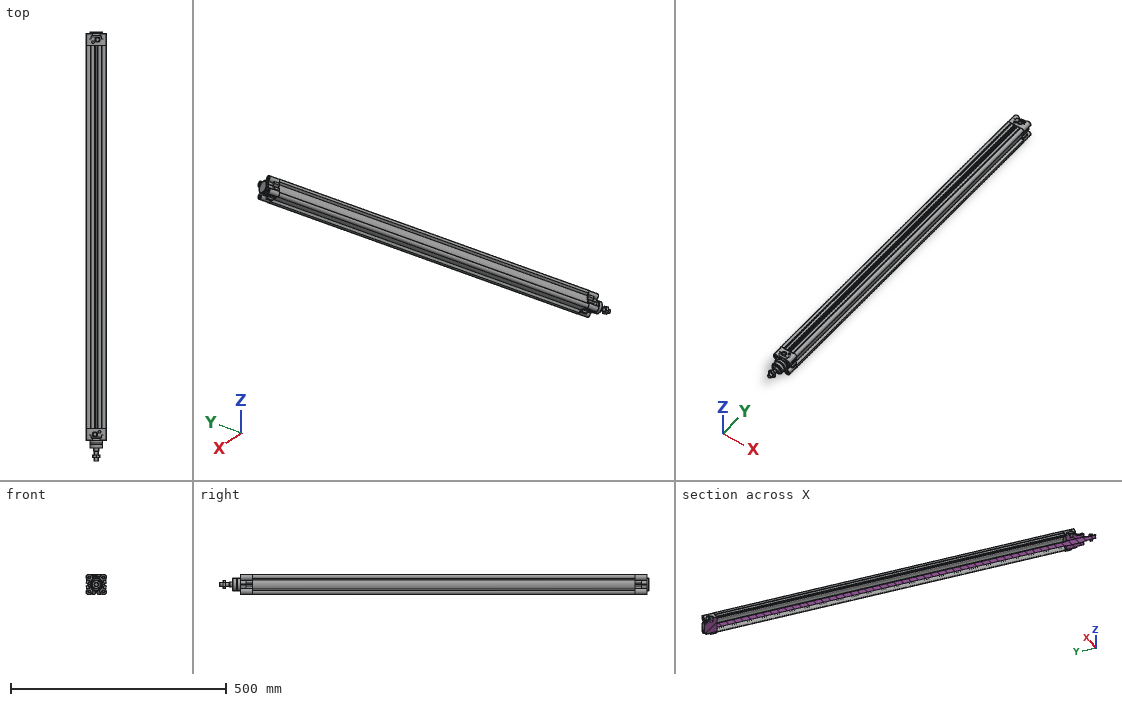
import cadquery as cq
import math


STROKE = 850.0
BODY_LENGTH_AT_ZERO_STROKE = 94.0
BODY_LENGTH = BODY_LENGTH_AT_ZERO_STROKE + STROKE
CAP_LENGTH = 28.0
BARREL_LENGTH = BODY_LENGTH - 2 * CAP_LENGTH
FRONT_COLLAR_LENGTH = 18.0
REAR_COLLAR_LENGTH = 4.0
ROD_SHOULDER = 26.0
THREAD_LENGTH = 22.0

WIDTH = 47.0
HALF_WIDTH = WIDTH / 2
BORE_DIAMETER = 32.0
CORNERS = [(sx, sz) for sx in (-1, 1) for sz in (-1, 1)]

BARREL_RADIUS = 19.0
BARREL_CORNER_RADIUS = 6.0
FLANK_EDGE_HEIGHT = 13.8
VALLEY_HEIGHT = 10.2
RAIL_WIDTH = 24.0
RAIL_TOP = 22.0
SLOT_MOUTH_WIDTH = 9.0
SLOT_MOUTH_DEPTH = 1.5
SLOT_WIDTH = 4.0
SLOT_DEPTH = 4.0

CAP_CORE_RADIUS = 18.0
SCREW_OFFSET = 16.25
CAP_CORNER_RADIUS = HALF_WIDTH - SCREW_OFFSET
SCREW_HOLE_DIAMETER = 4.92
SCREW_HOLE_DEPTH = 16.0
SCREW_RECESS_DIAMETER = 7.0
SCREW_RECESS_DEPTH = 1.0
RIB_LENGTH = 15.0
RIB_PAIR_WIDTH = 19.0
RIB_SHOULDER = 22.7
RIB_CREST = 23.3
GROOVE_WIDTH = 8.0
GROOVE_FLOOR = 17.0
TOP_PAD_DROP = 0.05
FLAT_TOP = HALF_WIDTH - TOP_PAD_DROP
PORT_PAD_WIDTH = 24.0
PORT_PAD_LENGTH = 24.0
PORT_PAD_CHAMFER = 4.0
PORT_DIAMETER = 8.57
PORT_DEPTH = 10.0
PORT_RECESS_DIAMETER = 12.0
PORT_RECESS_DEPTH = 1.0
PORT_X = -3.0
PORT_Y = 14.0
CUSHION_SCREW_DIAMETER = 6.0
CUSHION_SCREW_DEPTH = 4.0
CUSHION_SCREW_X = 7.5
CUSHION_SCREW_Y = 20.0

COLLAR_DIAMETER = 30.0
COLLAR_CHAMFER = 1.0
COLLAR_GROOVE_START = 6.0
COLLAR_GROOVE_WIDTH = 3.0
COLLAR_GROOVE_DEPTH = 0.5
WIPER_DIAMETER = 22.0
WIPER_DEPTH = 1.0

ROD_DIAMETER = 12.0
ROD_CHAMFER_LENGTH = 2.0
THREAD_DIAMETER = 10.0
THREAD_TIP_DIAMETER = 8.57
THREAD_CHAMFER = (THREAD_DIAMETER - THREAD_TIP_DIAMETER) / 2
NUT_ACROSS_FLATS = 17.0
NUT_THICKNESS = 6.0
NUT_FROM_TIP = 8.0


def section(y):
    """A workplane across the cylinder at y: local X is X, local Y is Z, extrusion runs to +Y."""
    return cq.Workplane(cq.Plane(origin=(0, y, 0), xDir=(1, 0, 0), normal=(0, -1, 0)))


def cylinder_along_y(diameter, start, length):
    return section(start).circle(diameter / 2).extrude(-length)


def box_along_y(x_range, z_range, start, length):
    (x0, x1), (z0, z1) = x_range, z_range
    return section(start).center((x0 + x1) / 2, (z0 + z1) / 2).rect(x1 - x0, z1 - z0).extrude(-length)


def barrel_corner(sx, sz):
    """Rounded corner bar with straight flanks that run down to the round tube."""
    center = HALF_WIDTH - BARREL_CORNER_RADIUS
    valley_depth = math.sqrt(BARREL_RADIUS**2 - VALLEY_HEIGHT**2)
    edge_depth = center + math.sqrt(BARREL_CORNER_RADIUS**2 - (center - FLANK_EDGE_HEIGHT) ** 2)
    tip = center + BARREL_CORNER_RADIUS * math.sqrt(0.5)
    return (
        section(CAP_LENGTH)
        .moveTo(0, 0)
        .lineTo(sx * valley_depth, sz * VALLEY_HEIGHT)
        .lineTo(sx * edge_depth, sz * FLANK_EDGE_HEIGHT)
        .threePointArc((sx * tip, sz * tip), (sx * FLANK_EDGE_HEIGHT, sz * edge_depth))
        .lineTo(sx * VALLEY_HEIGHT, sz * valley_depth)
        .close()
        .extrude(-BARREL_LENGTH)
    )


def make_barrel():
    body = cylinder_along_y(2 * BARREL_RADIUS, CAP_LENGTH, BARREL_LENGTH)
    for sx, sz in CORNERS:
        body = body.union(barrel_corner(sx, sz))
    half_rail = RAIL_WIDTH / 2
    body = body.union(box_along_y((-half_rail, half_rail), (0, RAIL_TOP), CAP_LENGTH, BARREL_LENGTH))
    for width, depth in ((SLOT_MOUTH_WIDTH, SLOT_MOUTH_DEPTH), (SLOT_WIDTH, SLOT_DEPTH)):
        x_range = (-width / 2, width / 2)
        body = body.cut(box_along_y(x_range, (RAIL_TOP - depth, RAIL_TOP), CAP_LENGTH, BARREL_LENGTH))
    return body.cut(cylinder_along_y(BORE_DIAMETER, CAP_LENGTH, BARREL_LENGTH))


def side_ribs():
    """Pair of ribs with sloped tops, on the +X side."""
    half = RIB_PAIR_WIDTH / 2
    crest = GROOVE_WIDTH / 2
    outline = [
        (0, -half),
        (RIB_SHOULDER, -half),
        (RIB_CREST, -crest),
        (RIB_CREST, crest),
        (RIB_SHOULDER, half),
        (0, half),
    ]
    return section(CAP_LENGTH - RIB_LENGTH).polyline(outline).close().extrude(-RIB_LENGTH)


def side_groove():
    """V groove along the whole cap, on the +X side."""
    half = GROOVE_WIDTH / 2
    outline = [(GROOVE_FLOOR, 0), (RIB_CREST, half), (RIB_CREST, -half)]
    return section(0).polyline(outline).close().extrude(-CAP_LENGTH)


def top_pad():
    """Flat top between the corners on the barrel side, with a narrower port pad sloped at its end."""
    half = PORT_PAD_WIDTH / 2
    start = CAP_LENGTH - PORT_PAD_LENGTH
    pad = box_along_y((-half, half), (0, FLAT_TOP), start, PORT_PAD_LENGTH)
    pad = pad.faces("<Y").edges(">Z").chamfer(PORT_PAD_CHAMFER)
    shelf_x = (-SCREW_OFFSET, SCREW_OFFSET)
    shelf = box_along_y(shelf_x, (0, FLAT_TOP), CAP_LENGTH - RIB_LENGTH, RIB_LENGTH)
    return pad.union(shelf)


def top_hole(diameter, depth, x, y):
    """Cutter for a hole that goes down from the flat top of a cap."""
    return (
        cq.Workplane("XY", origin=(x, y, FLAT_TOP))
        .circle(diameter / 2)
        .extrude(-depth)
    )


def make_cap_block():
    """Cap without collar: outer face at y = 0, barrel side at y = CAP_LENGTH."""
    cap = cylinder_along_y(2 * CAP_CORE_RADIUS, 0, CAP_LENGTH)
    for sx, sz in CORNERS:
        corner = section(0).center(sx * SCREW_OFFSET, sz * SCREW_OFFSET)
        cap = cap.union(corner.circle(CAP_CORNER_RADIUS).extrude(-CAP_LENGTH))
    for angle in (0, 90, 180):
        cap = cap.union(side_ribs().rotate((0, 0, 0), (0, 1, 0), angle))
        cap = cap.cut(side_groove().rotate((0, 0, 0), (0, 1, 0), angle))
    cap = cap.union(top_pad())
    cap = cap.cut(top_hole(PORT_RECESS_DIAMETER, PORT_RECESS_DEPTH, PORT_X, PORT_Y))
    cap = cap.cut(top_hole(PORT_DIAMETER, PORT_DEPTH, PORT_X, PORT_Y))
    cap = cap.cut(top_hole(CUSHION_SCREW_DIAMETER, CUSHION_SCREW_DEPTH, CUSHION_SCREW_X, CUSHION_SCREW_Y))
    for sx, sz in CORNERS:
        corner = section(0).center(sx * SCREW_OFFSET, sz * SCREW_OFFSET)
        cap = cap.cut(corner.circle(SCREW_HOLE_DIAMETER / 2).extrude(-SCREW_HOLE_DEPTH))
        cap = cap.cut(corner.circle(SCREW_RECESS_DIAMETER / 2).extrude(-SCREW_RECESS_DEPTH))
    return cap


def make_front_cap():
    collar = cylinder_along_y(COLLAR_DIAMETER, -FRONT_COLLAR_LENGTH, FRONT_COLLAR_LENGTH)
    collar = collar.faces("<Y").chamfer(COLLAR_CHAMFER)
    groove_y = -COLLAR_GROOVE_START - COLLAR_GROOVE_WIDTH
    groove = (
        section(groove_y)
        .circle(COLLAR_DIAMETER / 2)
        .circle(COLLAR_DIAMETER / 2 - COLLAR_GROOVE_DEPTH)
        .extrude(-COLLAR_GROOVE_WIDTH)
    )
    wiper_seat = cylinder_along_y(WIPER_DIAMETER, -FRONT_COLLAR_LENGTH, WIPER_DEPTH)
    collar = collar.cut(groove).cut(wiper_seat)
    cap = make_cap_block().union(collar)
    passage = cylinder_along_y(ROD_DIAMETER, -FRONT_COLLAR_LENGTH, FRONT_COLLAR_LENGTH + CAP_LENGTH)
    return cap.cut(passage)


def make_rear_cap():
    block = make_cap_block().rotate((0, 0, 0), (0, 0, 1), 180).translate((0, BODY_LENGTH, 0))
    collar = cylinder_along_y(COLLAR_DIAMETER, BODY_LENGTH, REAR_COLLAR_LENGTH)
    return block.union(collar.faces(">Y").chamfer(COLLAR_CHAMFER))


def make_rod():
    """Rod from the rear cap through the front cap, with a threaded end."""
    shank = cylinder_along_y(ROD_DIAMETER, -ROD_SHOULDER, ROD_SHOULDER + CAP_LENGTH + BARREL_LENGTH)
    shank = shank.faces("<Y").chamfer(ROD_CHAMFER_LENGTH, (ROD_DIAMETER - THREAD_DIAMETER) / 2)
    thread = cylinder_along_y(THREAD_DIAMETER, -ROD_SHOULDER - THREAD_LENGTH, THREAD_LENGTH)
    return shank.union(thread.faces("<Y").chamfer(THREAD_CHAMFER))


def make_nut():
    """Hexagon nut on the thread, with corners at +Z and -Z."""
    start = -ROD_SHOULDER - THREAD_LENGTH + NUT_FROM_TIP
    across_corners = NUT_ACROSS_FLATS / math.cos(math.radians(30))
    nut = section(start).transformed(rotate=(0, 0, 90)).polygon(6, across_corners).extrude(-NUT_THICKNESS)
    return nut.cut(cylinder_along_y(THREAD_DIAMETER, start, NUT_THICKNESS))


barrel = make_barrel()
front_cap = make_front_cap()
rear_cap = make_rear_cap()
rod = make_rod()
nut = make_nut()

bodies = [barrel, front_cap, rear_cap, rod, nut]
result = cq.Compound.makeCompound([body.solids().val() for body in bodies])